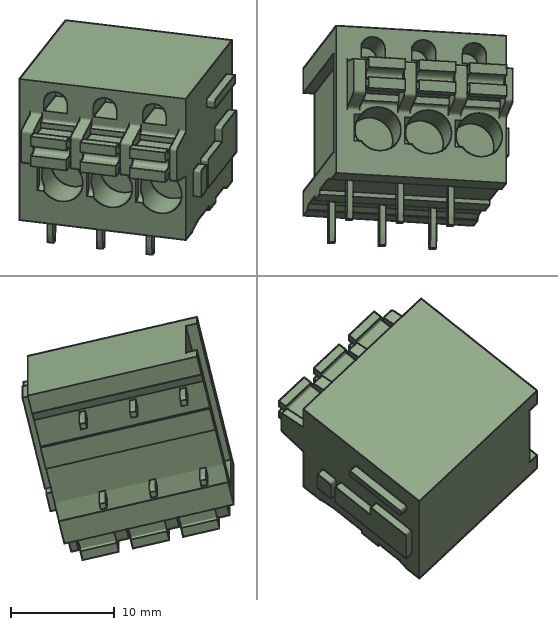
import cadquery as cq


overall_width = 17.65
overall_depth = 19.2
overall_height = 18.3

housing_width = 16.8
housing_depth = 15.2
housing_height = 14.8

pole_count = 3
pole_pitch = 5.0
pole_offsets = [pole * pole_pitch for pole in range(pole_count)]

relief_height = 0.46
relief_edge_step = 0.12
front_foot_depth = 2.28
front_slope_end = 4.05
middle_foot_front = 7.68
middle_foot_back = 9.85
rear_slope_start = 12.55
rear_foot_front = 13.35

recess_depth = 1.1
recess_front = 1.2
recess_bottom = 2.44
recess_top = 12.33

rib_left = 1.1
rib_width = 1.2
rib_reach = 2.92
rib_root_height = 4.6
rib_tip_height = 3.44
rib_root_fillet = 0.29
rib_tip_fillet = 0.33
guard_center_z = 9.0
flange_thickness = 0.2

collar_reach = 0.45
collar_height = 3.38
collar_fillet = 0.29

button_left = 2.36
button_width = 3.6
button_inner_end = 2.88
stem_bottom = 8.05
stem_height = 2.1
head_back = -3.07
button_front = housing_depth - overall_depth
head_bottom = 7.56
head_height = 3.11
neck_fillet = 0.15
driver_groove_z = 9.15
driver_groove_width = 1.0
driver_groove_depth = 1.2

wire_hole_x = 4.2
wire_hole_z = 4.68
wire_hole_radius = 2.19
wire_hole_depth = 3.84
notch_left = 1.79
notch_height = 2.65
notch_depth = 0.77
notch_corner_radius = 0.71

test_hole_x = 3.65
test_hole_radius = 1.17
test_hole_bottom = 11.77
test_hole_arch_center = 12.71
test_hole_depth = 3.84

tab_corner_radius = 0.23
upper_tab_reach = overall_width - housing_width
lower_tab_reach = 0.77
upper_tab_front, upper_tab_back = 6.82, 13.55
upper_tab_bottom, upper_tab_top = 11.1, 12.0
lower_tabs_bottom = 3.6
rear_tab_front, rear_tab_back = 9.5, 14.19
rear_tab_top = 8.0
middle_tab_front = 4.84
middle_tab_top = 6.55
front_tab_front, front_tab_back = 2.52, 4.34
front_tab_top = 6.32

pin_left = 1.79
pin_thickness = 0.6
pin_width = 0.83
pin_tip_width = 0.55
pin_bottom = housing_height - overall_height
pin_taper_top = -2.61
pin_top = 1.15
pin_center_ys = [3.7, 11.9]


def box(x_range, y_range, z_range):
    """Box between the given limits along X, Y and Z."""
    (x0, x1), (y0, y1), (z0, z1) = x_range, y_range, z_range
    return cq.Workplane("XY").box(x1 - x0, y1 - y0, z1 - z0, centered=False).translate((x0, y0, z0))


def side_prism(points, x_start, x_end):
    """Prism with a (Y, Z) outline, running along X."""
    return cq.Workplane("YZ", origin=(x_start, 0, 0)).polyline(points).close().extrude(x_end - x_start)


def blended_projection(x_start, x_end, reach, root_height, tip_height, root_fillet):
    """Tapered projection from the front face, blended into it by concave fillets.

    It stands on a thin flange that lies inside the housing.
    """
    projection = side_prism(
        [
            (0, guard_center_z - root_height / 2),
            (-reach, guard_center_z - tip_height / 2),
            (-reach, guard_center_z + tip_height / 2),
            (0, guard_center_z + root_height / 2),
        ],
        x_start,
        x_end,
    )
    flange_half_height = root_height / 2 + 2 * root_fillet
    flange = box(
        (x_start, x_end),
        (0, flange_thickness),
        (guard_center_z - flange_half_height, guard_center_z + flange_half_height),
    )
    root_zone = cq.selectors.BoxSelector(
        (x_start, -reach / 4, guard_center_z - root_height / 2 - root_fillet),
        (x_end, flange_thickness / 2, guard_center_z + root_height / 2 + root_fillet),
    )
    blended = projection.union(flange)
    return blended.edges("|X").edges(root_zone).fillet(root_fillet)


def make_body_block():
    """Block with the relieved underside."""
    return side_prism(
        [
            (0, 0),
            (front_foot_depth, 0),
            (front_foot_depth, relief_edge_step),
            (front_slope_end, relief_height),
            (middle_foot_front, relief_height),
            (middle_foot_front, 0),
            (middle_foot_back, 0),
            (middle_foot_back, relief_height),
            (rear_slope_start, relief_height),
            (rear_foot_front, relief_edge_step),
            (rear_foot_front, 0),
            (housing_depth, 0),
            (housing_depth, housing_height),
            (0, housing_height),
        ],
        0,
        housing_width,
    )


def make_rib(index):
    """Guard rib; the last one is cut off flush with the right side of the housing."""
    left = rib_left + index * pole_pitch
    right = min(left + rib_width, housing_width)
    rib = blended_projection(left, right, rib_reach, rib_root_height, rib_tip_height, rib_root_fillet)
    return rib.faces("<Y").edges("|X").fillet(rib_tip_fillet)


def make_collar():
    """Low strip between the first and the last rib."""
    last_rib_left = rib_left + pole_count * pole_pitch
    return blended_projection(
        rib_left + rib_width, last_rib_left, collar_reach, collar_height, collar_height, collar_fillet
    )


def make_tab(y_range, z_range, reach, rounded_edges):
    """Coupling tab on the right side, with the selected edges along X rounded."""
    tab = box((housing_width, housing_width + reach), y_range, z_range)
    return tab.edges(rounded_edges).fillet(tab_corner_radius)


def make_button_hole(offset):
    """Opening for a push button, as wide as the gap between two ribs."""
    left = rib_left + rib_width + offset
    right = rib_left + pole_pitch + offset
    return box((left, right), (-collar_reach, button_inner_end), (stem_bottom, stem_bottom + stem_height))


def make_wire_hole(offset):
    """Blind round wire entry with a shallow notch, rounded at its inner corners, on its left."""
    hole = (
        cq.Workplane("XZ")
        .center(wire_hole_x + offset, wire_hole_z)
        .circle(wire_hole_radius)
        .extrude(-wire_hole_depth)
    )
    notch = box(
        (notch_left + offset, wire_hole_x + offset),
        (0, notch_depth),
        (wire_hole_z - notch_height / 2, wire_hole_z + notch_height / 2),
    )
    notch = notch.faces(">Y").edges("|X").fillet(notch_corner_radius)
    return hole.union(notch)


def make_test_hole(offset):
    """Blind opening with a flat bottom and an arched top."""
    return (
        cq.Workplane("XZ")
        .moveTo(test_hole_x + offset - test_hole_radius, test_hole_bottom)
        .lineTo(test_hole_x + offset + test_hole_radius, test_hole_bottom)
        .lineTo(test_hole_x + offset + test_hole_radius, test_hole_arch_center)
        .threePointArc(
            (test_hole_x + offset, test_hole_arch_center + test_hole_radius),
            (test_hole_x + offset - test_hole_radius, test_hole_arch_center),
        )
        .close()
        .extrude(-test_hole_depth)
    )


def make_button(offset):
    """Push button: a flat stem with a wider head that has a driver groove across its front."""
    left = button_left + offset
    right = left + button_width
    stem = box((left, right), (head_back, button_inner_end), (stem_bottom, stem_bottom + stem_height))
    head = box((left, right), (button_front, head_back), (head_bottom, head_bottom + head_height))
    neck_zone = cq.selectors.BoxSelector(
        (left, head_back - neck_fillet, stem_bottom - neck_fillet),
        (right, head_back + neck_fillet, stem_bottom + stem_height + neck_fillet),
    )
    button = stem.union(head).edges("|X").edges(neck_zone).fillet(neck_fillet)

    groove_radius = driver_groove_width / 2
    groove_straight_end = button_front + driver_groove_depth - groove_radius
    groove = (
        cq.Workplane("YZ", origin=(left, 0, driver_groove_z))
        .moveTo(button_front, -groove_radius)
        .lineTo(groove_straight_end, -groove_radius)
        .threePointArc((button_front + driver_groove_depth, 0), (groove_straight_end, groove_radius))
        .lineTo(button_front, groove_radius)
        .close()
        .extrude(button_width)
    )
    return button.cut(groove)


def make_pin(offset, center_y):
    """Flat solder pin with a tapered tip."""
    left = pin_left + offset
    return side_prism(
        [
            (center_y - pin_width / 2, pin_top),
            (center_y - pin_width / 2, pin_taper_top),
            (center_y - pin_tip_width / 2, pin_bottom),
            (center_y + pin_tip_width / 2, pin_bottom),
            (center_y + pin_width / 2, pin_taper_top),
            (center_y + pin_width / 2, pin_top),
        ],
        left,
        left + pin_thickness,
    )


def make_housing(seated_pins):
    """Housing with its ribs, collar, tabs and openings, and a socket for each pin."""
    body = make_body_block()
    recess = box((0, recess_depth), (recess_front, housing_depth), (recess_bottom, recess_top))
    body = body.cut(recess).union(make_collar())
    for index in range(pole_count + 1):
        body = body.union(make_rib(index))

    upper_tab = make_tab(
        (upper_tab_front, upper_tab_back), (upper_tab_bottom, upper_tab_top), upper_tab_reach, "|X"
    )
    rear_tab = make_tab(
        (rear_tab_front, rear_tab_back), (lower_tabs_bottom, rear_tab_top), lower_tab_reach, "|X and >Z"
    )
    middle_tab = make_tab(
        (middle_tab_front, rear_tab_front),
        (lower_tabs_bottom, middle_tab_top),
        lower_tab_reach,
        "(|X and >Z) and <Y",
    )
    front_tab = make_tab(
        (front_tab_front, front_tab_back), (lower_tabs_bottom, front_tab_top), lower_tab_reach, "|X and >Z"
    )
    for tab in (upper_tab, rear_tab, middle_tab, front_tab):
        body = body.union(tab)

    for offset in pole_offsets:
        body = body.cut(make_button_hole(offset))
        body = body.cut(make_wire_hole(offset))
        body = body.cut(make_test_hole(offset))
    for pin in seated_pins:
        body = body.cut(pin)
    return body


pins = [make_pin(offset, center_y) for offset in pole_offsets for center_y in pin_center_ys]
buttons = [make_button(offset) for offset in pole_offsets]
housing = make_housing(pins)

result = cq.Compound.makeCompound(
    [housing.val(), *[button.val() for button in buttons], *[pin.val() for pin in pins]]
)